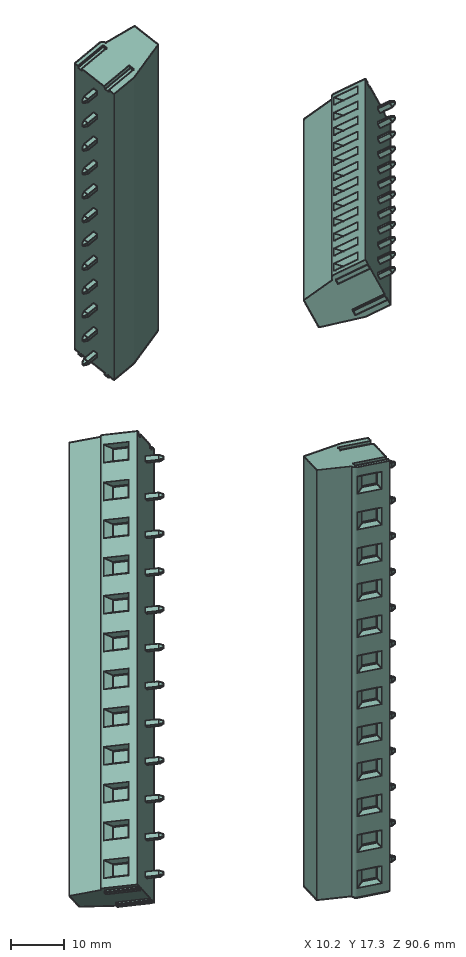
import cadquery as cq
import math

pole_count = 12
pole_pitch = 7.5
housing_length = pole_count * pole_pitch
housing_width = 10.2
housing_height = 13.95
crown_left = 1.95
crown_right = 8.1
face_top = 6.6
ledge_radius = 0.8
shoulder_height = 5.3

pin_x = 5.4
pin_size = 1.0
pin_length = 3.35
pin_embed = 1.0
pin_tip_length = 0.8
pin_tip_size = 0.45

entry_bottom = 1.65
entry_top = face_top
entry_width = 3.6
throat_bottom = 2.1
throat_top = 5.2
throat_width = 2.5
funnel_depth = 1.1
throat_depth = 0.5

rail_depth = 0.6
rail_length = 6.7
plain_rail_left = 0.85
plain_rail_right = 1.8
bevel_rail_left = 7.6
bevel_rail_right = 8.85
bevel_offset = 0.3
flare_height = 0.45
root_inset = 0.25


def make_housing():
    arc_rise = ledge_radius * math.sin(math.pi / 4)
    arc_middle = (ledge_radius - arc_rise, face_top + arc_rise)
    return (
        cq.Workplane("XY")
        .lineTo(housing_width, 0)
        .lineTo(housing_width, shoulder_height)
        .lineTo(crown_right, housing_height)
        .lineTo(crown_left, housing_height)
        .lineTo(ledge_radius, face_top + ledge_radius)
        .threePointArc(arc_middle, (0, face_top))
        .close()
        .extrude(housing_length)
    )


def make_pin(center_z):
    shank_length = pin_length - pin_tip_length
    shank = (
        cq.Workplane("XZ", origin=(pin_x, pin_embed, center_z))
        .rect(pin_size, pin_size)
        .extrude(pin_embed + shank_length)
    )
    tip = (
        cq.Workplane("XZ", origin=(pin_x, -shank_length, center_z))
        .rect(pin_size, pin_size)
        .workplane(offset=pin_tip_length)
        .rect(pin_tip_size, pin_tip_size)
        .loft(ruled=True)
    )
    return shank.union(tip)


def make_entry(center_z):
    mouth_y = (entry_bottom + entry_top) / 2
    throat_y = (throat_bottom + throat_top) / 2
    throat_height = throat_top - throat_bottom
    funnel = (
        cq.Workplane("YZ", origin=(0, mouth_y, center_z))
        .rect(entry_top - entry_bottom, entry_width)
        .workplane(offset=funnel_depth)
        .center(throat_y - mouth_y, 0)
        .rect(throat_height, throat_width)
        .loft(ruled=True)
    )
    throat = (
        cq.Workplane("YZ", origin=(funnel_depth, throat_y, center_z))
        .rect(throat_height, throat_width)
        .extrude(throat_depth)
    )
    return funnel.union(throat)


def profile_along_y(points):
    """Extrude an XZ outline from the base up to the rail length."""
    return cq.Workplane("XZ").polyline(points).close().extrude(-rail_length)


def make_grooves():
    mouth_z = housing_length
    floor_z = housing_length - rail_depth
    plain_groove = profile_along_y([
        (plain_rail_left, mouth_z),
        (plain_rail_right, mouth_z),
        (plain_rail_right, floor_z),
        (plain_rail_left, floor_z),
    ])
    bevel_groove = profile_along_y([
        (bevel_rail_left, mouth_z),
        (bevel_rail_right, mouth_z),
        (bevel_rail_right, floor_z),
        (bevel_rail_left + bevel_offset, floor_z),
    ])
    return plain_groove.union(bevel_groove)


def make_rails():
    """Rails with a narrow root that flares out to the full rail width."""
    plain_rail = profile_along_y([
        (plain_rail_left + root_inset, 0),
        (plain_rail_right - root_inset, 0),
        (plain_rail_right, -flare_height),
        (plain_rail_right, -rail_depth),
        (plain_rail_left, -rail_depth),
        (plain_rail_left, -flare_height),
    ])
    bevel_rail = profile_along_y([
        (bevel_rail_left + root_inset, 0),
        (bevel_rail_right - root_inset, 0),
        (bevel_rail_right, -flare_height),
        (bevel_rail_right, -rail_depth),
        (bevel_rail_left + bevel_offset, -rail_depth),
        (bevel_rail_left, -flare_height),
    ])
    return plain_rail.union(bevel_rail)


result = make_housing().cut(make_grooves()).union(make_rails())
for pole in range(pole_count):
    pole_z = pole * pole_pitch + pole_pitch / 2
    result = result.cut(make_entry(pole_z)).union(make_pin(pole_z))